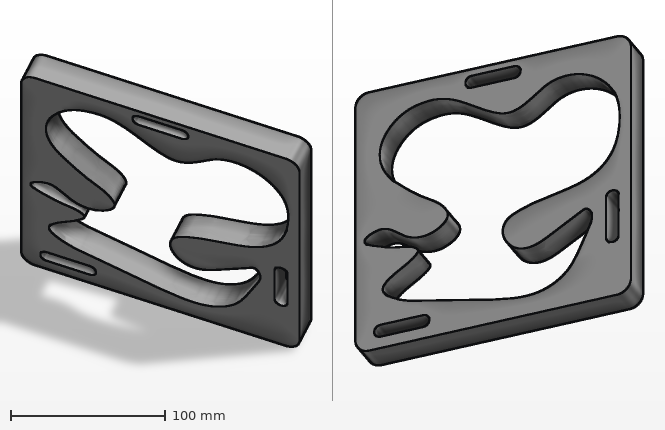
import cadquery as cq

plate_side = 195.0
plate_thickness = 20.0
corner_radius = 10.0

slot_length = 39.0
slot_width = 9.0
slot_placements = [
    (0.0, 88.0, 0),
    (-64.5, -84.5, 0),
    (84.5, -37.5, 90),
]

opening_points = [
    (-45.6, 80.7),
    (-24.0, 75.5),
    (-3.0, 62.8),
    (11.5, 58.3),
    (24.5, 63.4),
    (39.8, 73.7),
    (52.0, 76.5),
    (74.0, 69.5),
    (87.0, 52.6),
    (89.5, 36.0),
    (81.5, 7.0),
    (70.2, -3.0),
    (45.6, -10.5),
    (18.1, -17.4),
    (8.8, -23.5),
    (6.8, -29.0),
    (16.0, -44.8),
    (24.0, -46.8),
    (42.0, -40.2),
    (51.5, -34.7),
    (61.6, -29.0),
    (66.0, -27.3),
    (69.0, -30.2),
    (66.3, -45.0),
    (51.5, -71.8),
    (36.3, -81.0),
    (23.2, -82.9),
    (5.8, -81.1),
    (-44.8, -69.8),
    (-68.0, -63.2),
    (-78.0, -54.0),
    (-66.7, -42.1),
    (-55.8, -34.5),
    (-53.0, -30.5),
    (-56.5, -27.0),
    (-66.0, -24.5),
    (-81.1, -20.5),
    (-90.9, -14.6),
    (-79.0, -8.0),
    (-71.8, -10.3),
    (-60.8, -18.0),
    (-51.0, -20.5),
    (-40.5, -18.1),
    (-32.0, -8.5),
    (-35.5, -1.0),
    (-48.5, 8.8),
    (-63.8, 20.5),
    (-76.0, 34.0),
    (-80.1, 47.5),
    (-71.8, 68.6),
    (-59.5, 77.6),
]


def extrude_through(outline):
    """Extrude an XZ outline to the full thickness, centred on Y = 0."""
    return outline.extrude(plate_thickness).translate((0, plate_thickness / 2, 0))


def make_plate():
    outline = cq.Workplane("XZ").rect(plate_side, plate_side)
    return extrude_through(outline).edges("|Y").fillet(corner_radius)


def make_opening():
    outline = cq.Workplane("XZ").spline(opening_points, periodic=True).wire()
    return extrude_through(outline)


def make_slot(x, z, angle):
    outline = cq.Workplane("XZ").center(x, z).transformed(rotate=(0, 0, angle)).slot2D(slot_length, slot_width)
    return extrude_through(outline)


result = make_plate().cut(make_opening())
for placement in slot_placements:
    result = result.cut(make_slot(*placement))